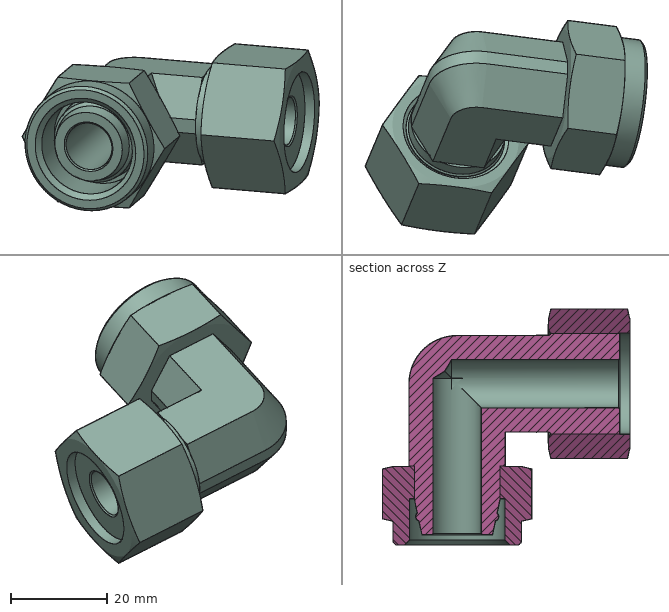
import cadquery as cq
import math


OVERALL_LENGTH = 51.6

HEX_FLATS = 27.0
HEX_CORNERS = HEX_FLATS / math.cos(math.radians(30))
HEX_CHAMFER_ANGLE = 15

ARM_HEIGHT = 18.95
ARM_WIDTH = 20.1
ARM_HALF_HEIGHT = ARM_HEIGHT / 2
ARM_HALF_WIDTH = ARM_WIDTH / 2
ARM_HALF_TOP = ARM_HALF_HEIGHT * math.tan(math.radians(30))
ARM_HALF_SIDE = ARM_HALF_HEIGHT - (ARM_HALF_WIDTH - ARM_HALF_TOP) * math.tan(math.radians(60))

BORE_RADIUS = 5.0
BORE_CHAMFER = 0.3
BORE_OVERRUN = 1.15
DRILL_POINT_ANGLE = 118
DRILL_POINT_LENGTH = BORE_RADIUS / math.tan(math.radians(DRILL_POINT_ANGLE / 2))

SWIVEL_START = 17.2
SWIVEL_HEX_END = 28.7
SWIVEL_END = 33.6
SWIVEL_SLEEVE_RADIUS = 13.4
SWIVEL_SLEEVE_CHAMFER = 0.6
SWIVEL_BORE_RADIUS = 9.9
SWIVEL_MOUTH_RADIUS = 11.0
SWIVEL_MOUTH_DEPTH = 1.1

CONE_RECESS = 2.1
CONE_HALF_ANGLE = 12
CONE_TIP_RADIUS = 7.4
CONE_BASE_RADIUS = 9.0
CONE_TIP = SWIVEL_END - CONE_RECESS
CONE_BASE = CONE_TIP - (CONE_BASE_RADIUS - CONE_TIP_RADIUS) / math.tan(math.radians(CONE_HALF_ANGLE))
SEAL_OUTER_RADIUS = 8.65
SEAL_CORD_RADIUS = 1.0
SEAL_DISTANCE = 27.65

LONG_NUT_START = 18.95
LONG_NUT_END = OVERALL_LENGTH - HEX_CORNERS / 2
LONG_NUT_BORE_RADIUS = 10.5
LONG_NUT_MOUTH_RADIUS = 11.3
LONG_NUT_MOUTH_DEPTH = 0.45

NECK_START = 16.55
NECK_RADIUS = 10.1
STUD_CONE_START = 19.15
STUD_CONE_END = STUD_CONE_START + LONG_NUT_BORE_RADIUS - NECK_RADIUS
STUD_END = LONG_NUT_END - CONE_RECESS


def revolve_about_x(points):
    """Solid of revolution about the X axis, from (distance along X, radius) points."""
    return cq.Workplane("XY").polyline(points).close().revolve(360, (0, 0, 0), (1, 0, 0))


def turn_to_front(body):
    """Turn a body built along +X so that it lies along -Y."""
    return body.rotate((0, 0, 0), (0, 0, 1), -90)


def hex_bar(start, end):
    """Hexagonal bar along X with flats above and below, both ends chamfered to a cone."""
    corner_radius = HEX_CORNERS / 2
    flat_radius = HEX_FLATS / 2
    chamfer = (corner_radius - flat_radius) * math.tan(math.radians(HEX_CHAMFER_ANGLE))
    bar = cq.Workplane("YZ", origin=(start, 0, 0)).polygon(6, HEX_CORNERS).extrude(end - start)
    envelope = revolve_about_x([
        (start, 0),
        (start, flat_radius),
        (start + chamfer, corner_radius),
        (end - chamfer, corner_radius),
        (end, flat_radius),
        (end, 0),
    ])
    return bar.intersect(envelope)


def arm_bar(length):
    """Plain bar of the elbow section, along X from the origin."""
    return (
        cq.Workplane("YZ")
        .polyline([
            (ARM_HALF_WIDTH, -ARM_HALF_SIDE),
            (ARM_HALF_WIDTH, ARM_HALF_SIDE),
            (ARM_HALF_TOP, ARM_HALF_HEIGHT),
            (-ARM_HALF_TOP, ARM_HALF_HEIGHT),
            (-ARM_HALF_WIDTH, ARM_HALF_SIDE),
            (-ARM_HALF_WIDTH, -ARM_HALF_SIDE),
            (-ARM_HALF_TOP, -ARM_HALF_HEIGHT),
            (ARM_HALF_TOP, -ARM_HALF_HEIGHT),
        ])
        .close()
        .extrude(length)
    )


def outer_bend():
    """Rounded outer corner of the elbow: half the arm section turned fully about the Z axis."""
    return (
        cq.Workplane("XZ")
        .polyline([
            (0, -ARM_HALF_HEIGHT),
            (ARM_HALF_TOP, -ARM_HALF_HEIGHT),
            (ARM_HALF_WIDTH, -ARM_HALF_SIDE),
            (ARM_HALF_WIDTH, ARM_HALF_SIDE),
            (ARM_HALF_TOP, ARM_HALF_HEIGHT),
            (0, ARM_HALF_HEIGHT),
        ])
        .close()
        .revolve(360, (0, 0, 0), (0, 1, 0))
    )


def stud():
    """Neck and stud of the +X arm."""
    return revolve_about_x([
        (NECK_START, 0),
        (NECK_START, NECK_RADIUS),
        (STUD_CONE_START, NECK_RADIUS),
        (STUD_CONE_END, LONG_NUT_BORE_RADIUS),
        (STUD_END, LONG_NUT_BORE_RADIUS),
        (STUD_END, 0),
    ])


def sealing_cone():
    """Round shank, sealing cone and seal ring of the -Y arm, built along +X."""
    cone = revolve_about_x([
        (SWIVEL_START, 0),
        (SWIVEL_START, CONE_BASE_RADIUS),
        (CONE_BASE, CONE_BASE_RADIUS),
        (CONE_TIP, CONE_TIP_RADIUS),
        (CONE_TIP, 0),
    ])
    seal = cq.Workplane("XY").add(
        cq.Solid.makeTorus(
            SEAL_OUTER_RADIUS - SEAL_CORD_RADIUS,
            SEAL_CORD_RADIUS,
            cq.Vector(SEAL_DISTANCE, 0, 0),
            cq.Vector(1, 0, 0),
        )
    )
    return cone.union(seal)


def drilled_bore(mouth):
    """Bore along X, from a chamfered mouth to a drill point past the origin."""
    return revolve_about_x([
        (-BORE_OVERRUN - DRILL_POINT_LENGTH, 0),
        (-BORE_OVERRUN, BORE_RADIUS),
        (mouth - BORE_CHAMFER, BORE_RADIUS),
        (mouth, BORE_RADIUS + BORE_CHAMFER),
        (mouth, 0),
    ])


def make_elbow():
    elbow = arm_bar(NECK_START).union(turn_to_front(arm_bar(SWIVEL_START)))
    elbow = elbow.union(outer_bend()).union(stud()).union(turn_to_front(sealing_cone()))
    return elbow.cut(drilled_bore(STUD_END)).cut(turn_to_front(drilled_bore(CONE_TIP)))


def make_swivel_nut():
    sleeve = revolve_about_x([
        (SWIVEL_START, 0),
        (SWIVEL_START, SWIVEL_SLEEVE_RADIUS),
        (SWIVEL_END - SWIVEL_SLEEVE_CHAMFER, SWIVEL_SLEEVE_RADIUS),
        (SWIVEL_END, SWIVEL_SLEEVE_RADIUS - SWIVEL_SLEEVE_CHAMFER),
        (SWIVEL_END, 0),
    ])
    opening = revolve_about_x([
        (SWIVEL_START, 0),
        (SWIVEL_START, CONE_BASE_RADIUS),
        (CONE_BASE, CONE_BASE_RADIUS),
        (CONE_BASE, SWIVEL_BORE_RADIUS),
        (SWIVEL_END - SWIVEL_MOUTH_DEPTH, SWIVEL_BORE_RADIUS),
        (SWIVEL_END, SWIVEL_MOUTH_RADIUS),
        (SWIVEL_END, 0),
    ])
    nut = hex_bar(SWIVEL_START, SWIVEL_HEX_END).union(sleeve).cut(opening)
    return turn_to_front(nut)


def make_long_nut():
    opening = revolve_about_x([
        (LONG_NUT_START, 0),
        (LONG_NUT_START, LONG_NUT_MOUTH_RADIUS),
        (LONG_NUT_START + LONG_NUT_MOUTH_DEPTH, LONG_NUT_BORE_RADIUS),
        (LONG_NUT_END, LONG_NUT_BORE_RADIUS),
        (LONG_NUT_END, 0),
    ])
    return hex_bar(LONG_NUT_START, LONG_NUT_END).cut(opening)


elbow = make_elbow()
swivel_nut = make_swivel_nut()
long_nut = make_long_nut()

result = cq.Compound.makeCompound([elbow.val(), swivel_nut.val(), long_nut.val()])